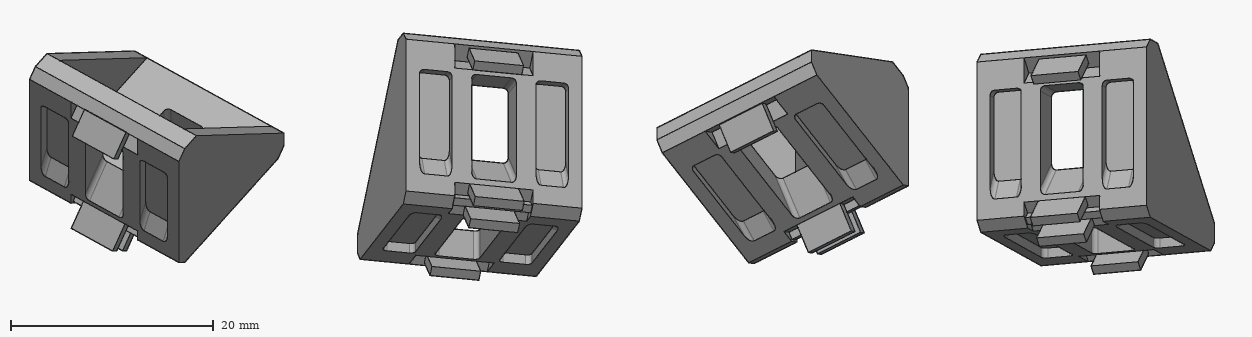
import cadquery as cq
import math

ROOT2 = math.sqrt(2)

WIDTH = 18.0
LEG_LENGTH = 18.0
PLATE_THICKNESS = 3.0
SIDE_WALL = 1.5
CHAMFER = 1.0

OPENING_START = 3.0
OPENING_END = 14.0
OPENING_CORNER_RADIUS = 0.5
SLOT_WIDTH = 4.55
SLOT_RAMP_RISE = 3.12
POCKET_WIDTH = 3.3
POCKET_DEPTH = 1.0
POCKET_RAMP_RISE = 2.0
POCKET_OFFSET = 5.95

TAB_WIDTH = 5.0
TAB_THICKNESS = 1.0
TAB_LENGTH = 3.0
NOTCH_WIDTH = 8.0
INNER_TAB_UPPER_GAP = 0.0
INNER_TAB_LOWER_GAP = 0.3
OUTER_TAB_UPPER_GAP = 0.3
OUTER_TAB_LOWER_GAP = 0.5
CORNER_RELIEF_DEPTH = 0.2
INNER_NOTCH_DEPTH = INNER_TAB_UPPER_GAP + TAB_THICKNESS + INNER_TAB_LOWER_GAP
OUTER_NOTCH_DEPTH = OUTER_TAB_UPPER_GAP + TAB_THICKNESS + OUTER_TAB_LOWER_GAP

INNER_ROOT = CHAMFER + TAB_THICKNESS * ROOT2
OUTER_ROOT = LEG_LENGTH - CHAMFER


def prism(points, width, center_x=0.0):
    """Extrude a YZ outline along X, centered on center_x."""
    outline = cq.Workplane("YZ", origin=(center_x, 0, 0)).polyline(points).close()
    return outline.extrude(width / 2, both=True)


def other_leg(solid):
    """Carry a feature of the upright leg over to the base leg (swap Y and Z)."""
    turned = solid.rotate((0, 0, 0), (1, 0, 0), 90)
    return turned.mirror("XZ")


def diagonal_point(root, along, down):
    """Point reached from (y=0, z=root) by going down the 45 degree root plane into
    the leg, then outward along the tab direction."""
    y = (down - along) / ROOT2
    z = root - (down + along) / ROOT2
    return (y, z)


def make_body():
    """Chamfered triangular block hollowed out behind the legs, between the side walls."""
    outline = [
        (CHAMFER, 0),
        (LEG_LENGTH - CHAMFER, 0),
        (LEG_LENGTH, CHAMFER),
        (LEG_LENGTH, PLATE_THICKNESS),
        (PLATE_THICKNESS, LEG_LENGTH),
        (CHAMFER, LEG_LENGTH),
        (0, LEG_LENGTH - CHAMFER),
        (0, CHAMFER),
    ]
    interior = cq.Workplane("XY").box(
        WIDTH - 2 * SIDE_WALL, LEG_LENGTH, LEG_LENGTH, centered=(True, False, False)
    )
    interior = interior.translate((0, PLATE_THICKNESS, PLATE_THICKNESS))
    return prism(outline, WIDTH).cut(interior)


def ramped_opening(width, depth, ramp_rise, center_x):
    """Opening in the upright leg whose lower end is a ramp; its four corners are rounded."""
    outline = [
        (0, OPENING_START),
        (depth, OPENING_START + ramp_rise),
        (depth, OPENING_END),
        (0, OPENING_END),
    ]
    blank = prism(outline, width, center_x)
    corners = blank.edges("not(|X or |Z)")
    return corners.fillet(OPENING_CORNER_RADIUS)


def notch(root, depth):
    """V notch cut into the outer face, one side of it being the tab's root plane."""
    outline = [
        (0, root),
        diagonal_point(root, 0, depth),
        diagonal_point(root, depth, depth),
    ]
    return prism(outline, NOTCH_WIDTH)


def tab(root, upper_gap):
    """Tab standing square on the notch's root plane."""
    lower = upper_gap + TAB_THICKNESS
    outline = [
        diagonal_point(root, 0, upper_gap),
        diagonal_point(root, 0, lower),
        diagonal_point(root, TAB_LENGTH, lower),
        diagonal_point(root, TAB_LENGTH, upper_gap),
    ]
    return prism(outline, TAB_WIDTH)


def corner_relief():
    """Cut that sets the chamfered corner back between the two inner notches."""
    reach = CHAMFER + CORNER_RELIEF_DEPTH * ROOT2
    return prism([(0, 0), (reach, 0), (0, reach)], NOTCH_WIDTH)


leg_cuts = [
    ramped_opening(SLOT_WIDTH, PLATE_THICKNESS, SLOT_RAMP_RISE, 0),
    ramped_opening(POCKET_WIDTH, POCKET_DEPTH, POCKET_RAMP_RISE, -POCKET_OFFSET),
    ramped_opening(POCKET_WIDTH, POCKET_DEPTH, POCKET_RAMP_RISE, POCKET_OFFSET),
    notch(INNER_ROOT, INNER_NOTCH_DEPTH),
    notch(OUTER_ROOT, OUTER_NOTCH_DEPTH),
]
leg_tabs = [
    tab(INNER_ROOT, INNER_TAB_UPPER_GAP),
    tab(OUTER_ROOT, OUTER_TAB_UPPER_GAP),
]

result = make_body().cut(corner_relief())
for cutter in leg_cuts:
    result = result.cut(cutter).cut(other_leg(cutter))
for leg_tab in leg_tabs:
    result = result.union(leg_tab).union(other_leg(leg_tab))